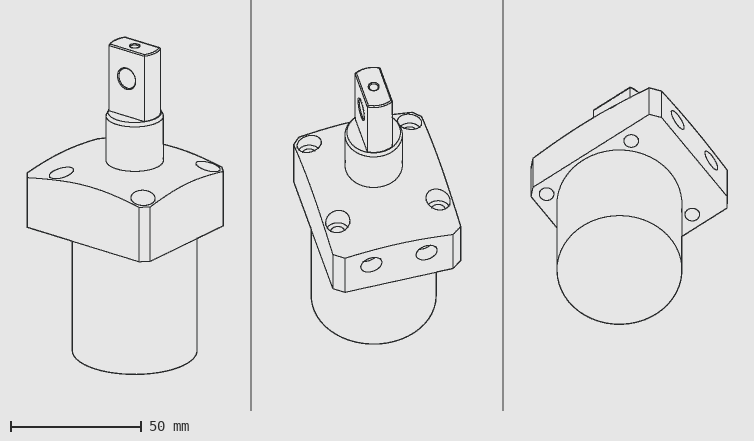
import cadquery as cq
import math

BARREL_DIAMETER = 48.0
BARREL_HEIGHT = 51.0

FLANGE_HEIGHT = 28.0
FLANGE_WIDTH = 51.0
FLANGE_LENGTH = 61.0
FLANGE_RIGHT = FLANGE_WIDTH / 2
FLANGE_LEFT = FLANGE_RIGHT - FLANGE_LENGTH
CORNER_CUT_X = 3.0
LEFT_CORNER_CUT_Y = 3.9
RIGHT_CORNER_CUT_Y = 2.9
CONE_TOP_DIAMETER = 28.0
CONE_SLOPE = 15

MOUNT_SPACING = 40.0
MOUNT_DIAMETER = 5.6
MOUNT_HEAD_DIAMETER = 9.2
MOUNT_HEAD_DEPTH = 10.2

PORT_SPACING = 22.0
PORT_DIAMETER = 8.3
PORT_DEPTH = 5.5
PORT_HEIGHT = 13.2

ROD_DIAMETER = 22.0
ROD_SEAT_DEPTH = FLANGE_HEIGHT
ROD_SHOULDER_HEIGHT = 20.0
SHOULDER_CHAMFER_RADIAL = 0.8
SHOULDER_CHAMFER_HEIGHT = 1.5

TANG_DIAMETER = 20.0
TANG_THICKNESS = 10.0
TANG_CHAMFER = 0.5
TOTAL_HEIGHT = 126.5
PIN_HOLE_DIAMETER = 8.1
PIN_HOLE_FROM_END = 12.0
END_HOLE_DIAMETER = 3.4
HOLE_CHAMFER = 0.4

FLANGE_TOP = BARREL_HEIGHT + FLANGE_HEIGHT
ROD_BOTTOM = FLANGE_TOP - ROD_SEAT_DEPTH
SHOULDER_TOP = FLANGE_TOP + ROD_SHOULDER_HEIGHT
PIN_HOLE_Z = TOTAL_HEIGHT - PIN_HOLE_FROM_END


def upright_cylinder(diameter, bottom, top):
    return cq.Workplane("XY").workplane(offset=bottom).circle(diameter / 2).extrude(top - bottom)


def make_flange_block():
    """Rectangular block with its four vertical corners cut off."""
    half_width = FLANGE_WIDTH / 2
    outline = [
        (FLANGE_LEFT, half_width - LEFT_CORNER_CUT_Y),
        (FLANGE_LEFT + CORNER_CUT_X, half_width),
        (FLANGE_RIGHT - CORNER_CUT_X, half_width),
        (FLANGE_RIGHT, half_width - RIGHT_CORNER_CUT_Y),
    ]
    mirrored = [(x, -y) for x, y in reversed(outline)]
    return (
        cq.Workplane("XY").workplane(offset=BARREL_HEIGHT)
        .polyline(outline + mirrored).close().extrude(FLANGE_HEIGHT)
    )


def make_cone_envelope():
    """Solid of revolution whose cone trims the top of the flange."""
    top_radius = CONE_TOP_DIAMETER / 2
    outer_radius = FLANGE_LENGTH
    rim_height = FLANGE_TOP - (outer_radius - top_radius) * math.tan(math.radians(CONE_SLOPE))
    return (
        cq.Workplane("XZ")
        .polyline([
            (0, 0),
            (outer_radius, 0),
            (outer_radius, rim_height),
            (top_radius, FLANGE_TOP),
            (0, FLANGE_TOP),
        ])
        .close()
        .revolve(360, (0, 0), (0, 1))
    )


def make_mounting_holes():
    def at_corners(diameter, bottom):
        return (
            cq.Workplane("XY").workplane(offset=bottom)
            .rect(MOUNT_SPACING, MOUNT_SPACING, forConstruction=True).vertices()
            .circle(diameter / 2).extrude(FLANGE_TOP - bottom)
        )

    head_bottom = FLANGE_TOP - MOUNT_HEAD_DEPTH
    return at_corners(MOUNT_DIAMETER, BARREL_HEIGHT).union(at_corners(MOUNT_HEAD_DIAMETER, head_bottom))


def make_ports():
    return (
        cq.Workplane("YZ", origin=(FLANGE_LEFT, 0, BARREL_HEIGHT + PORT_HEIGHT))
        .pushPoints([(-PORT_SPACING / 2, 0), (PORT_SPACING / 2, 0)])
        .circle(PORT_DIAMETER / 2).extrude(PORT_DEPTH)
    )


def make_housing():
    barrel = upright_cylinder(BARREL_DIAMETER, 0, BARREL_HEIGHT)
    flange = make_flange_block().intersect(make_cone_envelope())
    rod_bore = upright_cylinder(ROD_DIAMETER, ROD_BOTTOM, FLANGE_TOP)
    return barrel.union(flange).cut(make_mounting_holes()).cut(make_ports()).cut(rod_bore)


def make_shank():
    """Round part of the rod, with a chamfered shoulder."""
    radius = ROD_DIAMETER / 2
    return (
        cq.Workplane("XZ")
        .polyline([
            (0, ROD_BOTTOM),
            (radius, ROD_BOTTOM),
            (radius, SHOULDER_TOP - SHOULDER_CHAMFER_HEIGHT),
            (radius - SHOULDER_CHAMFER_RADIAL, SHOULDER_TOP),
            (0, SHOULDER_TOP),
        ])
        .close()
        .revolve(360, (0, 0), (0, 1))
    )


def make_tang():
    """Round bar with two flats, a cross hole for a pin and a hole in its end."""
    height = TOTAL_HEIGHT - SHOULDER_TOP
    flats = (
        cq.Workplane("XY").workplane(offset=SHOULDER_TOP)
        .rect(TANG_DIAMETER, TANG_THICKNESS).extrude(height)
    )
    tang = upright_cylinder(TANG_DIAMETER, SHOULDER_TOP, TOTAL_HEIGHT).intersect(flats)
    tang = tang.faces(">Z").edges().chamfer(TANG_CHAMFER)

    pin_hole = (
        cq.Workplane("XZ", origin=(0, 0, PIN_HOLE_Z))
        .circle(PIN_HOLE_DIAMETER / 2).extrude(TANG_THICKNESS, both=True)
    )
    tang = tang.cut(pin_hole)
    tang = tang.faces("<Y or >Y").edges("%CIRCLE").chamfer(HOLE_CHAMFER)

    end_hole = upright_cylinder(END_HOLE_DIAMETER, PIN_HOLE_Z, TOTAL_HEIGHT)
    end_countersink = (
        cq.Workplane("XY").workplane(offset=TOTAL_HEIGHT - HOLE_CHAMFER)
        .circle(END_HOLE_DIAMETER / 2)
        .workplane(offset=HOLE_CHAMFER).circle(END_HOLE_DIAMETER / 2 + HOLE_CHAMFER).loft(ruled=True)
    )
    return tang.cut(end_hole).cut(end_countersink)


def make_rod():
    return make_shank().union(make_tang())


housing = make_housing()
rod = make_rod()
result = cq.Compound.makeCompound([housing.val(), rod.val()])